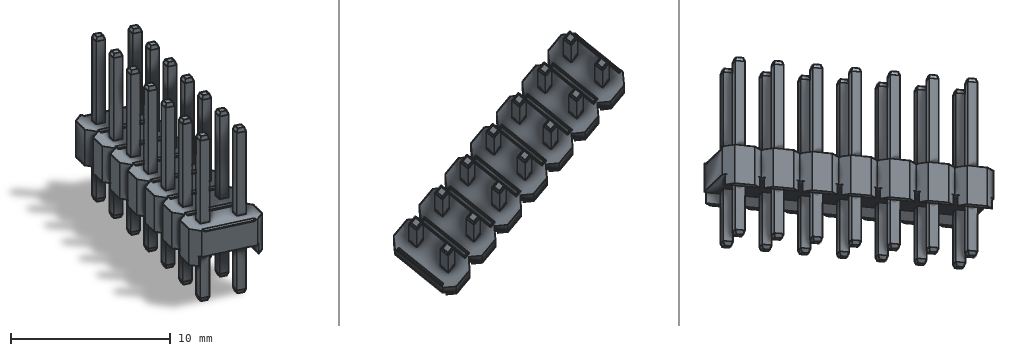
import cadquery as cq

length = 17.78
columns = 7
rows = 2
pitch = length / columns
width = rows * pitch

body_height = 2.52
corner_chamfer = 0.6
foot_height = 0.7
foot_inset = 0.15
foot_depth = corner_chamfer - foot_inset

groove_width = 0.43
groove_depth = 0.1
groove_end_margin = 0.73
groove_length = width - 2 * groove_end_margin
groove_taper = 45.0

pin_size = 0.64
pin_below_body = 2.99
pin_above_body = 6.08
tip_length = 0.27
tip_size = 0.45

column_positions = [(i - (columns - 1) / 2) * pitch for i in range(columns)]
row_positions = [(i - (rows - 1) / 2) * pitch for i in range(rows)]
joint_positions = [i * pitch - length / 2 for i in range(columns + 1)]


def make_tile(x):
    """Octagonal body tile that stands on a foot along each long side."""
    tile = (
        cq.Workplane("XY")
        .box(pitch, width, body_height, centered=(True, True, False))
        .edges("|Z")
        .chamfer(corner_chamfer)
    )
    channel = cq.Workplane("XY").box(
        pitch, width - 2 * foot_depth, foot_height, centered=(True, True, False)
    )
    return tile.cut(channel).translate((x, 0, 0))


def make_groove(x):
    """Shallow groove that narrows towards its flat floor."""
    return (
        cq.Workplane("XY", origin=(x, 0, body_height))
        .rect(groove_width, groove_length)
        .extrude(-groove_depth, taper=groove_taper)
    )


def make_tip(x, y, z, direction):
    """Tapered pin tip that starts at height z; direction is +1 for up, -1 for down."""
    return (
        cq.Workplane("XY", origin=(x, y, z))
        .rect(pin_size, pin_size)
        .workplane(offset=direction * tip_length)
        .rect(tip_size, tip_size)
        .loft(ruled=True)
    )


def make_pin(x, y):
    """Square pin through the body, with a tip at each end."""
    shank_bottom = tip_length - pin_below_body
    shank_top = body_height + pin_above_body - tip_length
    shank = (
        cq.Workplane("XY", origin=(x, y, shank_bottom))
        .rect(pin_size, pin_size)
        .extrude(shank_top - shank_bottom)
    )
    top_tip = make_tip(x, y, shank_top, 1)
    bottom_tip = make_tip(x, y, shank_bottom, -1)
    return shank.union(top_tip).union(bottom_tip)


result = make_tile(column_positions[0])
for x in column_positions[1:]:
    result = result.union(make_tile(x))

for x in joint_positions:
    result = result.cut(make_groove(x))

for x in column_positions:
    for y in row_positions:
        result = result.union(make_pin(x, y))

result = result.clean()